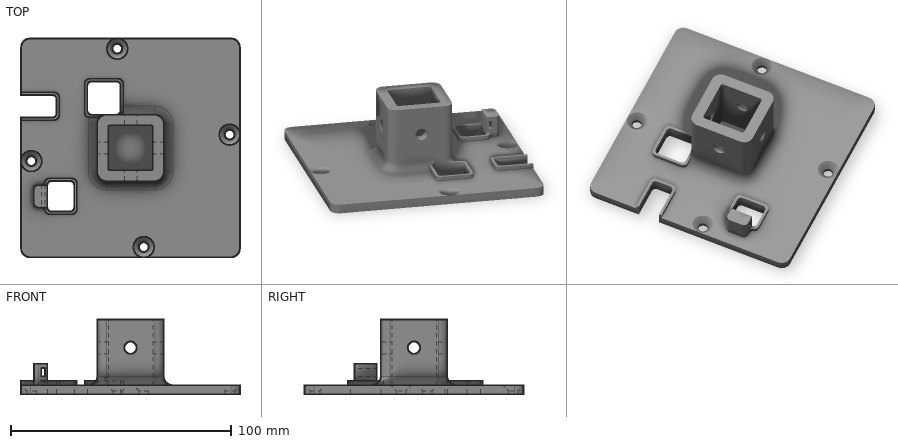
import cadquery as cq

plate_side = 99.4
plate_thickness = 4.2
plate_corner_radius = 4.2

socket_top = 34.0
socket_side = 30.2
socket_corner_radius = 4.2
socket_foot_radius = 4.0
bore_side = 20.4
bore_corner_radius = 1.0
cross_hole_diameter = 5.5
cross_hole_height = 21.2

screw_hole_diameter = 4.3
countersink_diameter = 9.4
countersink_angle = 90.0
screw_edge_distance = 45.0
screw_side_offset = 6.0

rim_width = 1.2
rim_corner_radius = 2.2
rim_height = 2.0
rim_top = plate_thickness + rim_height

large_window_center = (-12.05, 22.6)
large_window_size = (15.0, 15.0)
small_window_center = (-31.65, -21.95)
small_window_size = (12.1, 13.8)
opening_corner_radius = 1.8
notch_center_y = 18.9
notch_depth = 16.1
notch_width = 10.1

post_length = 6.2
post_width = 10.2
post_top = 14.0
post_corner_radius = 2.0
post_rim_blend_radius = 1.8
slot_length = 1.6
slot_height = 3.6
slot_wall = 1.2
slot_center_height = 10.1


def rounded_block(size, center, bottom, top, radius):
    """Upright block with rounded vertical edges."""
    return (
        cq.Workplane("XY", origin=(*center, bottom))
        .rect(*size)
        .extrude(top - bottom)
        .edges("|Z")
        .fillet(radius)
    )


def make_plate():
    return rounded_block((plate_side, plate_side), (0, 0), 0, plate_thickness, plate_corner_radius)


def add_socket(body):
    """Join the socket to the plate and blend its foot."""
    socket = rounded_block((socket_side, socket_side), (0, 0), 0, socket_top, socket_corner_radius)
    reach = socket_side / 2 + socket_foot_radius
    foot_zone = cq.selectors.BoxSelector((-reach, -reach, 0), (reach, reach, 2 * plate_thickness))
    return body.union(socket).edges("not |Z").edges(foot_zone).fillet(socket_foot_radius)


def make_rim(size, center):
    """Solid block that becomes the rim once its opening is cut."""
    rim_size = (size[0] + 2 * rim_width, size[1] + 2 * rim_width)
    return rounded_block(rim_size, center, 0, rim_top, rim_corner_radius)


def make_opening(size, center):
    """Cutter for an opening, tall enough to also clear the socket foot round."""
    return rounded_block(size, center, 0, socket_top, opening_corner_radius)


def add_rimmed_opening(body, size, center):
    """Raise a rim around an opening and cut the opening through the plate."""
    return body.union(make_rim(size, center)).cut(make_opening(size, center))


def add_edge_notch(body):
    """Rimmed opening that runs out through the -X edge of the plate."""
    overrun = 2 * (rim_corner_radius + rim_width)
    length = notch_depth + overrun
    center = (-plate_side / 2 + notch_depth - length / 2, notch_center_y)
    body = add_rimmed_opening(body, (length, notch_width), center)
    trim = cq.Workplane("XY").box(plate_side, plate_side, socket_top, centered=(True, True, False))
    return body.intersect(trim)


def make_post():
    """Post flush with the -X side of the small window, with a slot running through along Y."""
    right = small_window_center[0] - small_window_size[0] / 2
    center = (right - post_length / 2, small_window_center[1])
    post = (
        cq.Workplane("XY", origin=(*center, 0))
        .rect(post_length, post_width)
        .extrude(post_top)
        .edges("|Z and <X")
        .fillet(post_corner_radius)
    )
    slot_x = right - slot_wall - slot_length / 2
    slot = cq.Workplane("XY", origin=(slot_x, center[1], slot_center_height)).box(
        slot_length, 2 * post_width, slot_height
    )
    return post.cut(slot)


def add_small_window_with_post(body):
    """Rimmed window whose rim blends into the post with concave rounds."""
    post = make_post()
    rim = make_rim(small_window_size, small_window_center)
    outline = rim.union(post).faces("<Z").wires().val()
    grown = outline.offset2D(post_rim_blend_radius)[0]
    blended = grown.offset2D(-post_rim_blend_radius)[0]
    collar = cq.Workplane("XY").add(blended).toPending().extrude(rim_top)
    window = make_opening(small_window_size, small_window_center)
    return body.union(collar).cut(window).union(post)


def cut_socket_holes(body):
    """Square blind bore down to the plate, and cross holes along X and Y."""
    bore = rounded_block((bore_side, bore_side), (0, 0), plate_thickness, socket_top, bore_corner_radius)
    body = body.cut(bore)
    for plane in ("XZ", "YZ"):
        cross_hole = (
            cq.Workplane(plane)
            .center(0, cross_hole_height)
            .circle(cross_hole_diameter / 2)
            .extrude(socket_side, both=True)
        )
        body = body.cut(cross_hole)
    return body


def cut_screw_holes(body):
    """Four countersunk holes, each a quarter turn from the last."""
    points = [
        (screw_edge_distance, screw_side_offset),
        (-screw_side_offset, screw_edge_distance),
        (-screw_edge_distance, -screw_side_offset),
        (screw_side_offset, -screw_edge_distance),
    ]
    return (
        body.copyWorkplane(cq.Workplane("XY", origin=(0, 0, plate_thickness)))
        .pushPoints(points)
        .cskHole(screw_hole_diameter, countersink_diameter, countersink_angle, plate_thickness)
    )


result = make_plate()
result = add_socket(result)
result = add_rimmed_opening(result, large_window_size, large_window_center)
result = add_edge_notch(result)
result = add_small_window_with_post(result)
result = cut_socket_holes(result)
result = cut_screw_holes(result)